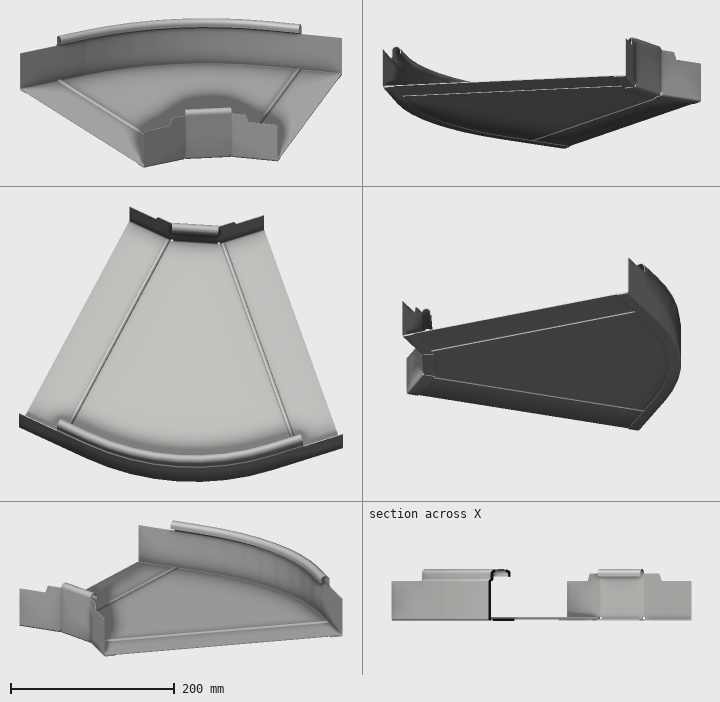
import cadquery as cq
import math

bend_angle = 45.0
half_angle = math.radians(bend_angle / 2)
tray_width = 303.5
outer_radius = 298.5
outer_straight = 90.8
inner_straight = 58.0

sheet = 1.0
bend_radius = 2.5
flange_width = 15.0
wall_height = 48.0

total_height = 63.0
curl_radius = 5.75
curl_base = total_height - curl_radius
lip_bottom = 54.0
rim_start = 51.0
jog_top = 51.0
jog_depth = 1.5
jog_lower_share = 1 / 3

relief_radius = 1.6
relief_height = 4.3

shoulder_foot = 36.0
shoulder_crest = 39.3

floor_gap = 3.0
floor_top = 2 * sheet
bead_start = 51.0
bead_width = 5.5
bead_height = 2.3

arc_center = cq.Vector(outer_radius, outer_straight, 0)
mirror_normal = cq.Vector(math.sin(half_angle), math.cos(half_angle), 0)


def far_copy(body):
    """Mirror a feature of the near end to the far end of the bend."""
    return body.mirror(mirror_normal, arc_center)


def far_point(x, y):
    """Mirror a plan point of the near end to the far end of the bend."""
    point = cq.Vector(x, y, 0)
    distance = (point - arc_center).dot(mirror_normal)
    moved = point - mirror_normal * (2 * distance)
    return (moved.x, moved.y)


def angle_section(plane):
    """Flange under the floor, bend and upright wall."""
    inner_bend = bend_radius - sheet
    return (
        plane.moveTo(flange_width, 0)
        .lineTo(bend_radius, 0)
        .radiusArc((0, bend_radius), bend_radius)
        .lineTo(0, wall_height)
        .lineTo(sheet, wall_height)
        .lineTo(sheet, bend_radius)
        .radiusArc((bend_radius, sheet), -inner_bend)
        .lineTo(flange_width, sheet)
        .close()
    )


def add_curl(section, offset):
    """Continue a section up the wall strip, around the half round curl and back to the strip."""
    curl_middle = offset + curl_radius
    curl_end = offset + 2 * curl_radius
    return (
        section.lineTo(offset, curl_base)
        .threePointArc((curl_middle, total_height), (curl_end, curl_base))
        .lineTo(curl_end, lip_bottom)
        .lineTo(curl_end - sheet, lip_bottom)
        .lineTo(curl_end - sheet, curl_base)
        .threePointArc((curl_middle, total_height - sheet), (offset + sheet, curl_base))
    )


def plain_rim_section(plane):
    """Curled rim in line with the wall below it."""
    section = add_curl(plane.moveTo(0, wall_height), 0)
    return section.lineTo(sheet, wall_height).close()


def jogged_rim_section(plane):
    """Curled rim set inwards from the wall below it by two tangent arcs."""
    jog_rise = jog_top - wall_height
    jog_angle = 2 * math.atan2(jog_depth, jog_rise)
    radius_sum = jog_rise / math.sin(jog_angle)
    lower_radius = jog_lower_share * radius_sum
    upper_radius = radius_sum - lower_radius
    inner_radius = lower_radius - sheet

    def turning_point(radius):
        """End of the lower arc at the given radius about its centre."""
        return (
            lower_radius - radius * math.cos(jog_angle),
            wall_height + radius * math.sin(jog_angle),
        )

    section = (
        plane.moveTo(0, wall_height)
        .radiusArc(turning_point(lower_radius), lower_radius)
        .radiusArc((jog_depth, jog_top), -upper_radius)
    )
    return (
        add_curl(section, jog_depth)
        .lineTo(jog_depth + sheet, jog_top)
        .radiusArc(turning_point(inner_radius), upper_radius + sheet)
        .radiusArc((sheet, wall_height), -inner_radius)
        .close()
    )


def outer_sweep(section, straight_length):
    """Carry a section along the near straight, the arc and the far straight."""
    straight = section.extrude(straight_length)
    arc = section.toPending().revolve(bend_angle, (outer_radius, 1, 0), (outer_radius, 0, 0))
    return arc.union(straight).union(far_copy(straight))


def make_outer_wall():
    plane = cq.Workplane("XZ", origin=(0, outer_straight, 0))
    wall = outer_sweep(angle_section(plane), outer_straight)
    rim = outer_sweep(jogged_rim_section(plane), outer_straight - rim_start)
    return wall.union(rim)


def make_inner_wall():
    near_plane = cq.Workplane(cq.Plane((tray_width, 0, 0), (-1, 0, 0), (0, 1, 0)))
    straight = angle_section(near_plane).extrude(inner_straight)
    shoulder = (
        cq.Workplane("YZ", origin=(tray_width - sheet, 0, 0))
        .moveTo(shoulder_foot, wall_height)
        .lineTo(shoulder_crest, curl_base)
        .lineTo(inner_straight, curl_base)
        .lineTo(inner_straight, wall_height)
        .close()
        .extrude(sheet)
    )
    straight = straight.union(shoulder)

    kink = (tray_width, inner_straight)
    far_kink = far_point(*kink)
    chord_length = math.dist(kink, far_kink)
    inward = (-math.cos(half_angle), math.sin(half_angle), 0)
    along = (math.sin(half_angle), math.cos(half_angle), 0)
    chord_plane = cq.Workplane(cq.Plane((*kink, 0), inward, along))
    chord = angle_section(chord_plane).extrude(chord_length)
    chord = chord.union(plain_rim_section(chord_plane).extrude(chord_length))

    corner = (
        cq.Workplane("XY", origin=(0, 0, bend_radius))
        .moveTo(*kink)
        .lineTo(tray_width - sheet, inner_straight)
        .lineTo(tray_width + inward[0] * sheet, inner_straight + inward[1] * sheet)
        .close()
        .extrude(curl_base - bend_radius)
    )
    near_side = straight.union(corner)
    wall = chord.union(near_side).union(far_copy(near_side))

    relief = cq.Workplane("XY").center(*kink).circle(relief_radius).extrude(relief_height)
    return wall.cut(relief).cut(far_copy(relief))


def bead_outline(width, height, base):
    """Circular segment across the floor bead."""
    middle = bead_start + bead_width / 2
    return (
        cq.Workplane("YZ", origin=(floor_gap, 0, 0))
        .moveTo(middle - width / 2, base)
        .threePointArc((middle, base + height), (middle + width / 2, base))
        .close()
        .extrude(tray_width - 2 * floor_gap)
    )


def make_floor():
    inner_edge = tray_width - floor_gap
    kink_y = inner_straight + floor_gap * math.tan(half_angle / 2)
    arc_reach = outer_radius - floor_gap
    arc_middle = (
        outer_radius - arc_reach * math.cos(half_angle),
        outer_straight + arc_reach * math.sin(half_angle),
    )
    floor = (
        cq.Workplane("XY", origin=(0, 0, sheet))
        .moveTo(floor_gap, 0)
        .lineTo(floor_gap, outer_straight)
        .threePointArc(arc_middle, far_point(floor_gap, outer_straight))
        .lineTo(*far_point(floor_gap, 0))
        .lineTo(*far_point(inner_edge, 0))
        .lineTo(*far_point(inner_edge, kink_y))
        .lineTo(inner_edge, kink_y)
        .lineTo(inner_edge, 0)
        .close()
        .extrude(sheet)
    )
    bead = bead_outline(bead_width, bead_height, floor_top)
    hollow = bead_outline(bead_width - 2 * sheet, bead_height, sheet)
    floor = floor.union(bead).union(far_copy(bead))
    return floor.cut(hollow).cut(far_copy(hollow))


floor = make_floor()
outer_wall = make_outer_wall()
inner_wall = make_inner_wall()

result = cq.Compound.makeCompound([floor.val(), outer_wall.val(), inner_wall.val()])